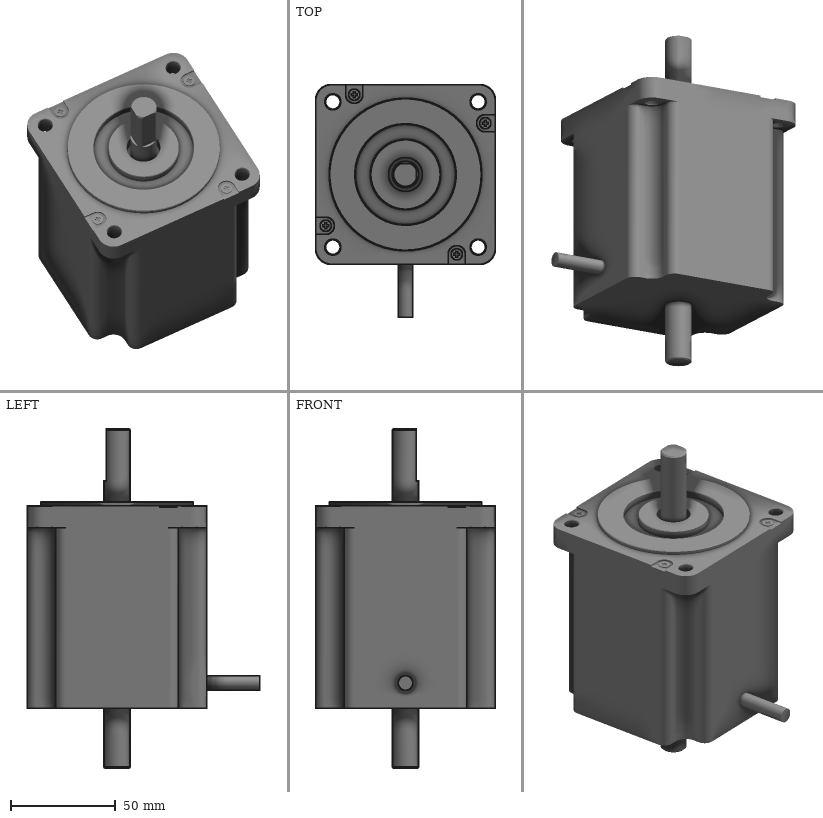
import cadquery as cq
import math

total_length = 162.3
face_width = 86.0
depth_with_cable = 111.3
rear_shaft_length = 28.5
housing_length = 96.9
flange_thickness = 10.4
front_shaft_top = total_length - rear_shaft_length
face_half = face_width / 2

flange_corner_radius = 7.6
mount_hole_offset = 34.7
mount_hole_diameter = 7.0
pilot_diameter = 73.0
pilot_height = 2.0
recess_diameter = 47.9
recess_depth = 3.9
hub_diameter = 33.8
face_chamfer = 0.3
shaft_bore_diameter = 16.2
shaft_bore_depth = 6.5

channel_wall = 29.2
channel_outer_radius = 4.5
channel_inner_radius = 6.2

shaft_diameter = 12.7
shaft_chamfer = 0.6
flat_offset = 5.2
flat_length = 25.0

cable_diameter = 7.0
cable_length = depth_with_cable - face_width
cable_height = 12.2

screw_along = 24.5
screw_out = 38.1
screw_pocket_width = 8.3
screw_pocket_depth = 0.8
screw_head_diameter = 5.4
screw_head_height = 0.5
cross_length = 2.8
cross_width = 1.0
cross_depth = 0.5

pilot_top = housing_length + pilot_height


def cylinder(diameter, bottom, top):
    return cq.Workplane("XY").workplane(offset=bottom).circle(diameter / 2).extrude(top - bottom)


def square_corners(offset):
    return [(x, y) for x in (-offset, offset) for y in (-offset, offset)]


def around_axis(shape):
    """Four copies of a shape, a quarter turn apart about the motor axis."""
    copies = shape
    for turn in (90, 180, 270):
        copies = copies.union(shape.rotate((0, 0, 0), (0, 0, 1), turn))
    return copies


def make_housing():
    """Square housing whose corners are cut back behind the flange."""
    housing = cq.Workplane("XY").rect(face_width, face_width).extrude(housing_length)
    housing = housing.edges("|Z").fillet(flange_corner_radius)

    lip_start = channel_wall - channel_outer_radius
    lip_end = face_half - channel_outer_radius
    root_start = channel_wall + channel_inner_radius
    lip_bulge = channel_outer_radius * math.sqrt(0.5)
    root_bulge = channel_inner_radius * math.sqrt(0.5)
    lip_mid = (lip_end + lip_bulge, lip_start + lip_bulge)
    channel = (
        cq.Workplane("XY")
        .moveTo(face_half, lip_start)
        .threePointArc(lip_mid, (lip_end, channel_wall))
        .lineTo(root_start, channel_wall)
        .threePointArc((root_start - root_bulge, root_start - root_bulge), (channel_wall, root_start))
        .lineTo(channel_wall, lip_end)
        .threePointArc(lip_mid[::-1], (lip_start, face_half))
        .lineTo(face_half, face_half)
        .close()
        .extrude(housing_length - flange_thickness)
    )
    return housing.cut(around_axis(channel))


def cut_mount_holes(body):
    holes = (
        cq.Workplane("XY")
        .pushPoints(square_corners(mount_hole_offset))
        .circle(mount_hole_diameter / 2)
        .extrude(housing_length)
    )
    body = body.cut(holes)
    front_arcs = body.faces(">Z").edges("%CIRCLE")
    return front_arcs.edges(cq.selectors.RadiusNthSelector(0)).chamfer(face_chamfer)


def add_pilot(body):
    """Raised pilot ring with an annular recess around a central hub, edges broken."""
    recess_floor = pilot_top - recess_depth
    recess = (
        cylinder(recess_diameter, recess_floor, pilot_top)
        .cut(cylinder(hub_diameter, recess_floor, pilot_top))
    )
    pilot = cylinder(pilot_diameter, recess_floor, pilot_top).cut(recess)
    pilot = pilot.faces(">Z").edges().chamfer(face_chamfer)
    bore = cylinder(shaft_bore_diameter, pilot_top - shaft_bore_depth, pilot_top)
    return body.cut(recess).union(pilot).cut(bore)


def add_screws(body):
    """Cross-recessed screw heads sunk in U-shaped pockets, one per side."""
    pocket_floor = housing_length - screw_pocket_depth
    floor_plane = cq.Workplane("XY").workplane(offset=pocket_floor)
    pocket_run = face_half - screw_out
    pocket = (
        floor_plane.center(screw_out, screw_along)
        .circle(screw_pocket_width / 2)
        .extrude(screw_pocket_depth)
        .union(
            floor_plane.center(screw_out + pocket_run / 2, screw_along)
            .rect(pocket_run, screw_pocket_width)
            .extrude(screw_pocket_depth)
        )
    )
    head = (
        floor_plane.center(screw_out, screw_along)
        .circle(screw_head_diameter / 2)
        .extrude(screw_head_height)
    )
    cross_plane = floor_plane.workplane(offset=screw_head_height).center(screw_out, screw_along)
    cross = (
        cross_plane.rect(cross_length, cross_width)
        .extrude(-cross_depth)
        .union(cross_plane.rect(cross_width, cross_length).extrude(-cross_depth))
    )
    return body.cut(around_axis(pocket)).union(around_axis(head.cut(cross)))


def make_shaft():
    """Shaft through both ends of the housing, with chamfered tips."""
    shaft = cylinder(shaft_diameter, -rear_shaft_length, front_shaft_top)
    shaft = shaft.faces("<Z or >Z").chamfer(shaft_chamfer)
    flat_plane = cq.Workplane("XY").workplane(offset=front_shaft_top - flat_length)
    flat_shift = flat_offset + shaft_diameter / 2
    for x, y in ((flat_shift, 0), (0, flat_shift)):
        shaft = shaft.cut(flat_plane.center(x, y).rect(shaft_diameter, shaft_diameter).extrude(flat_length))
    return shaft


def make_cable():
    return (
        cq.Workplane("XZ", origin=(0, -face_half, cable_height))
        .circle(cable_diameter / 2)
        .extrude(cable_length)
    )


motor = make_housing()
motor = cut_mount_holes(motor)
motor = add_pilot(motor)
motor = add_screws(motor)
result = motor.union(make_shaft()).union(make_cable())